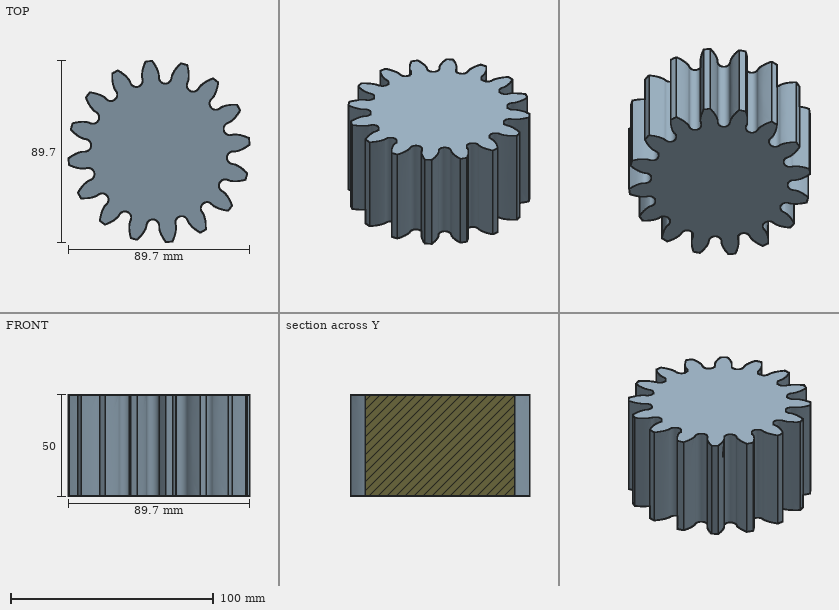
import cadquery as cq
import math

MODULE = 5.0
TOOTH_COUNT = 16
PRESSURE_ANGLE = math.radians(20)
FACE_WIDTH = 50.0
DEDENDUM_FACTOR = 1.25
FLANK_POINTS = 7

pitch_radius = MODULE * TOOTH_COUNT / 2
tip_radius = pitch_radius + MODULE
root_radius = pitch_radius - DEDENDUM_FACTOR * MODULE
base_radius = pitch_radius * math.cos(PRESSURE_ANGLE)

tooth_pitch = 2 * math.pi / TOOTH_COUNT
involute_at_pitch = math.tan(PRESSURE_ANGLE) - PRESSURE_ANGLE
half_tooth_at_base = tooth_pitch / 4 + involute_at_pitch
half_gap_at_base = tooth_pitch / 2 - half_tooth_at_base

root_arc_center = root_radius / (1 - math.sin(half_gap_at_base))
root_tangent_radius = root_arc_center * math.cos(half_gap_at_base)

first_tooth_angle = half_tooth_at_base


def polar(radius, angle):
    return (radius * math.cos(angle), radius * math.sin(angle))


def involute_flank(tooth_angle, side):
    """Points from the base circle to the tip; side is -1 for the clockwise flank, +1 for the other."""
    roll_at_tip = math.sqrt((tip_radius / base_radius) ** 2 - 1)
    points = []
    for i in range(FLANK_POINTS):
        roll = roll_at_tip * i / (FLANK_POINTS - 1)
        radius = base_radius * math.sqrt(1 + roll**2)
        half_angle = half_tooth_at_base - (roll - math.atan(roll))
        points.append(polar(radius, tooth_angle + side * half_angle))
    return points


def add_tooth(outline, tooth_angle):
    """Draw one tooth and the gap after it, going counterclockwise from the tooth's root tangent point."""
    rising_flank = involute_flank(tooth_angle, -1)
    falling_flank = involute_flank(tooth_angle, 1)[::-1]
    gap_angle = tooth_angle + tooth_pitch / 2
    outline = outline.lineTo(*rising_flank[0])
    outline = outline.spline(rising_flank[1:], includeCurrent=True)
    outline = outline.threePointArc(polar(tip_radius, tooth_angle), falling_flank[0])
    outline = outline.spline(falling_flank[1:], includeCurrent=True)
    outline = outline.lineTo(*polar(root_tangent_radius, gap_angle - half_gap_at_base))
    return outline.threePointArc(
        polar(root_radius, gap_angle),
        polar(root_tangent_radius, gap_angle + half_gap_at_base),
    )


def make_gear():
    start = polar(root_tangent_radius, first_tooth_angle - half_tooth_at_base)
    outline = cq.Workplane("XY").moveTo(*start)
    for i in range(TOOTH_COUNT):
        outline = add_tooth(outline, first_tooth_angle + i * tooth_pitch)
    return outline.close().extrude(FACE_WIDTH)


result = make_gear()